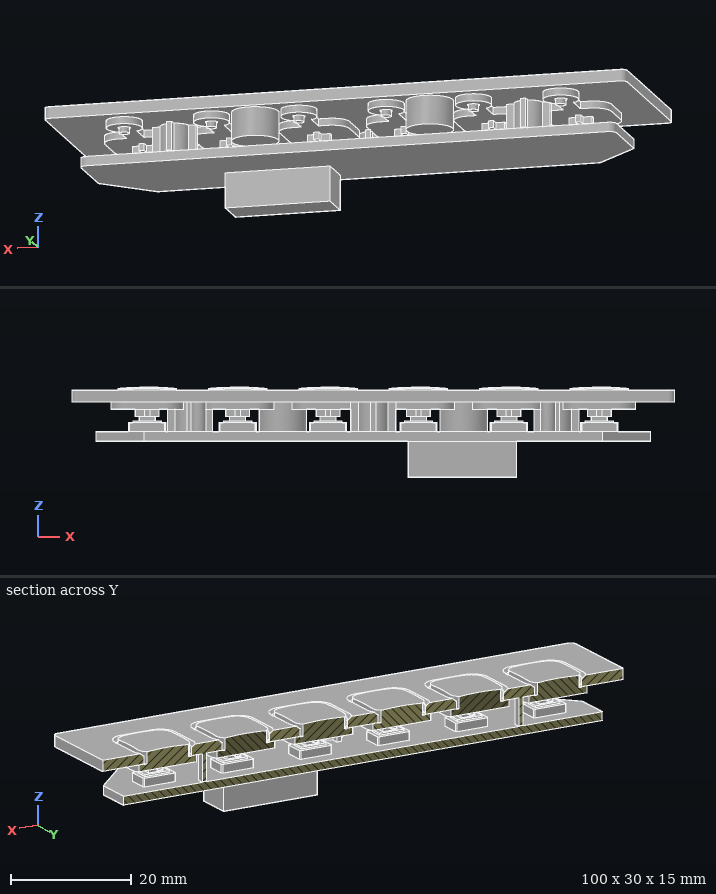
import cadquery as cq

panel_length = 100.0
panel_width = 30.0
panel_thickness = 2.0
panel_corner_radius = 1.0

board_gap = 4.9
board_thickness = 1.6
board_length = 92.0
board_back_y = 7.2
board_front_y = -13.1
board_front_chamfer = 8.0
board_back_radius = 1.2

key_count = 6
key_pitch = 15.0
key_row_y = -3.0
key_rise = 0.5
window_size = 10.3
window_radius = 2.2
window_chamfer = 0.6
stem_gap = 0.3
crown_radius = 50.0
flange_size = 12.0
flange_radius = 3.0
flange_thickness = 1.2
arm_width = 3.0
eyelet_diameter = 6.0
eyelet_hole_diameter = 2.0
foot_diameter = 4.0
foot_rib_thickness = 0.9
foot_height = 1.2

back_row_y = 10.0
locating_pin_diameter = 1.7
locating_pin_length = 2.1
boss_diameter = 7.9
boss_x = 15.0
ribbed_post_diameter = 5.0
ribbed_post_span = 7.5
ribbed_post_rib = 0.9
ribbed_post_places = [(-30.4, 4.0), (30.4, 4.0), (0.0, -10.0)]
stub_diameter = 2.5
stub_places = [(-29.0, -10.0), (29.0, -10.0)]

switch_length = 6.2
switch_width = 3.9
switch_base_height = 1.5
switch_corner_chamfer = 0.2
cap_length = 4.7
cap_width = 2.3
cap_height = 0.3
plunger_length = 2.7
plunger_width = 1.2

connector_length = 18.0
connector_width = 6.6
connector_height = 6.0
connector_x = 14.8
connector_y = -6.8

panel_bottom_z = board_gap
panel_top_z = panel_bottom_z + panel_thickness
crown_z = panel_top_z + key_rise
flange_bottom_z = panel_bottom_z - flange_thickness
foot_bottom_z = flange_bottom_z - foot_height
board_bottom_z = -board_thickness
key_xs = [(i - (key_count - 1) / 2) * key_pitch for i in range(key_count)]
key_places = [(x, key_row_y) for x in key_xs]
locating_pin_places = [(x, back_row_y) for x in key_xs]


def at_height(z):
    return cq.Workplane("XY").workplane(offset=z)


def rounded_block(length, width, height, radius, z):
    """Block standing on height z with rounded vertical edges."""
    block = at_height(z).rect(length, width).extrude(height)
    return block.edges("|Z").fillet(radius)


def rib_cross(span, thickness, height, z):
    """Two crossed ribs standing on height z."""
    along_x = at_height(z).rect(span, thickness).extrude(height)
    along_y = at_height(z).rect(thickness, span).extrude(height)
    return along_x.union(along_y)


def make_panel():
    panel = rounded_block(panel_length, panel_width, panel_thickness, panel_corner_radius, panel_bottom_z)

    window = rounded_block(window_size, window_size, panel_thickness, window_radius, panel_bottom_z)
    for x, y in key_places:
        panel = panel.cut(window.translate((x, y, 0)))
    window_span = key_xs[-1] - key_xs[0] + window_size
    chamfer_zone = cq.selectors.BoxSelector(
        (-window_span / 2, key_row_y - window_size / 2, panel_top_z - window_chamfer / 2),
        (window_span / 2, key_row_y + window_size / 2, panel_top_z + window_chamfer / 2),
    )
    panel = panel.edges(chamfer_zone).chamfer(window_chamfer)

    boss_places = [(-boss_x, back_row_y), (boss_x, back_row_y)]
    panel = panel.union(at_height(0).pushPoints(boss_places).circle(boss_diameter / 2).extrude(board_gap))

    ribbed_post = at_height(0).circle(ribbed_post_diameter / 2).extrude(board_gap)
    ribbed_post = ribbed_post.union(rib_cross(ribbed_post_span, ribbed_post_rib, board_gap, 0))
    for x, y in ribbed_post_places:
        panel = panel.union(ribbed_post.translate((x, y, 0)))
    panel = panel.union(at_height(0).pushPoints(stub_places).circle(stub_diameter / 2).extrude(board_gap))

    pins = at_height(panel_bottom_z).pushPoints(locating_pin_places)
    return panel.union(pins.circle(locating_pin_diameter / 2).extrude(-locating_pin_length))


def make_key(x):
    """Key with a crowned top, a flange, a cross-shaped foot and a hinge arm."""
    stem_size = window_size - 2 * stem_gap
    stem_height = crown_z - panel_bottom_z
    stem = rounded_block(stem_size, stem_size, stem_height, window_radius - stem_gap, panel_bottom_z)
    stem = stem.intersect(at_height(crown_z - crown_radius).sphere(crown_radius))

    flange = rounded_block(flange_size, flange_size, flange_thickness, flange_radius, flange_bottom_z)

    arm_length = back_row_y - key_row_y
    arm = at_height(flange_bottom_z).center(0, arm_length / 2).rect(arm_width, arm_length)
    arm = arm.extrude(flange_thickness)
    eyelet = at_height(flange_bottom_z).center(0, arm_length).circle(eyelet_diameter / 2)
    eyelet = eyelet.extrude(flange_thickness)
    eyelet_hole = at_height(flange_bottom_z).center(0, arm_length).circle(eyelet_hole_diameter / 2)
    eyelet_hole = eyelet_hole.extrude(flange_thickness)

    foot = at_height(foot_bottom_z).circle(foot_diameter / 2).extrude(foot_height)
    foot = foot.intersect(rib_cross(foot_diameter, foot_rib_thickness, foot_height, foot_bottom_z))

    key = flange.union(stem).union(arm).union(eyelet).union(foot).cut(eyelet_hole)
    return key.translate((x, key_row_y, 0))


def make_switch():
    base = at_height(0).rect(switch_length, switch_width).extrude(switch_base_height)
    base = base.edges("|Z").chamfer(switch_corner_chamfer)
    cap = at_height(switch_base_height).rect(cap_length, cap_width).extrude(cap_height)
    cap_top_z = switch_base_height + cap_height
    plunger = at_height(cap_top_z).rect(plunger_length, plunger_width).extrude(foot_bottom_z - cap_top_z)
    return base.union(cap).union(plunger)


def make_board():
    """Circuit board with one switch under every key."""
    board_width = board_back_y - board_front_y
    board = at_height(board_bottom_z).center(0, (board_back_y + board_front_y) / 2)
    board = board.rect(board_length, board_width).extrude(board_thickness)
    board = board.edges("|Z and <Y").chamfer(board_front_chamfer)
    board = board.edges("|Z and >Y").fillet(board_back_radius)
    switch = make_switch()
    for x, y in key_places:
        board = board.union(switch.translate((x, y, 0)))
    return board


def make_connector():
    connector = at_height(board_bottom_z).center(connector_x, connector_y)
    return connector.rect(connector_length, connector_width).extrude(-connector_height)


panel = make_panel()
keys = [make_key(x) for x in key_xs]
board = make_board()
connector = make_connector()

result = cq.Compound.makeCompound(
    [
        *panel.solids().vals(),
        *[solid for key in keys for solid in key.solids().vals()],
        *board.solids().vals(),
        connector.val(),
    ]
)